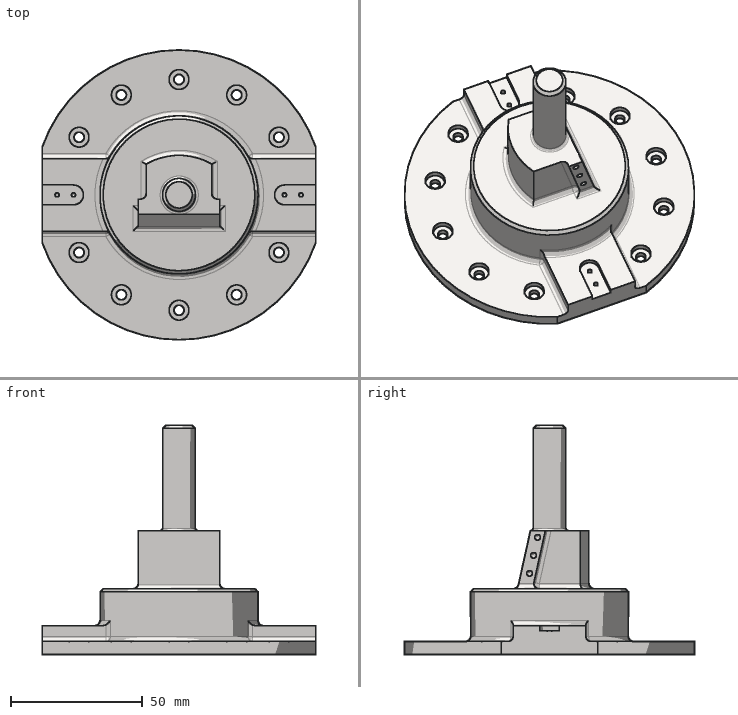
import cadquery as cq
import math

tolerance = 0.01

flange_radius = 55.0
flange_length = 103.75
flange_thickness = 5.0

bolt_circle_radius = 43.75
bolt_hole_diameter = 3.75
counterbore_diameter = 7.5
counterbore_depth = 2.5
bolt_pitch_angle = 30

hub_radius = 30.0
hub_top = 25.0
hub_chamfer = 1.25
rib_width = 27.5
rib_top = 11.0
base_fillet = 2.0

slot_width = 7.5
slot_depth = 2.0
slot_centre = 40.0
pin_hole_diameter = 1.56
pin_hole_spacing = 6.25
pin_hole_count = 2
pin_hole_depth = 3.0

block_top = 47.0
head_width = 31.0
body_width = 25.0
body_rear = 15.0
crown_radius = 25.0
lean_angle = 12.5
head_front = -12.15
head_thickness = 5.7
step_fillet = 2.0

flank_hole_diameter = 2.11
flank_hole_depth = 3.0
flank_hole_count = 3
flank_hole_spacing = 7.0
flank_hole_inset = 3.3
flank_hole_lowest = 30.8
drill_point_angle = 118.0

shaft_radius = 6.25
shaft_top = 87.0
shaft_foot_fillet = 1.0
shaft_chamfer = 1.25


def lean_offset(z):
    """Shift of the sloped faces along Y at height z, relative to the hub top."""
    return (z - hub_top) * math.tan(math.radians(lean_angle))


def drilled_hole(start, direction, diameter, depth):
    """Blind hole cutter with a conical drill point; depth is that of the full diameter."""
    radius = diameter / 2
    point_depth = radius / math.tan(math.radians(drill_point_angle / 2))
    bore = cq.Solid.makeCylinder(radius, depth, start, direction)
    point = cq.Solid.makeCone(radius, 0, point_depth, start + direction * depth, direction)
    return cq.Workplane(obj=bore).union(cq.Workplane(obj=point))


def make_flange():
    disc = cq.Workplane("XY").circle(flange_radius).extrude(flange_thickness)
    strip = cq.Workplane("XY").rect(flange_length, 2 * flange_radius).extrude(flange_thickness)
    return disc.intersect(strip)


def make_base():
    """Flange, ribs and hub with the fillets where they meet."""
    hub = cq.Workplane("XY").circle(hub_radius).extrude(hub_top)
    ribs = cq.Workplane("XY").rect(flange_length, rib_width).extrude(rib_top)
    base = make_flange().union(ribs).union(hub)

    corner_x = math.sqrt(hub_radius ** 2 - (rib_width / 2) ** 2)

    def is_root_edge(edge):
        centre = edge.Center()
        is_arc = edge.geomType() == "CIRCLE"
        is_upright = edge.BoundingBox().zlen > tolerance
        at_hub_corner = is_upright and abs(abs(centre.x) - corner_x) < tolerance
        beside_rib = abs(abs(centre.y) - rib_width / 2) < tolerance
        on_flange = abs(centre.z - flange_thickness) < tolerance and not is_upright
        around_hub = is_arc and abs(edge.radius() - hub_radius) < tolerance
        on_hub_root = around_hub and flange_thickness - tolerance < centre.z < rib_top + tolerance
        return at_hub_corner or (on_flange and beside_rib and not is_arc) or on_hub_root

    roots = [edge for edge in base.edges().vals() if is_root_edge(edge)]
    base = base.newObject(roots).fillet(base_fillet)
    return base.faces(">Z").edges().chamfer(hub_chamfer)


def cut_bolt_holes(part):
    for position in range(360 // bolt_pitch_angle):
        angle = position * bolt_pitch_angle
        if angle % 180 == 0:
            continue
        x = bolt_circle_radius * math.cos(math.radians(angle))
        y = bolt_circle_radius * math.sin(math.radians(angle))
        seat = cq.Workplane("XY", origin=(x, y, flange_thickness))
        part = part.cut(seat.circle(bolt_hole_diameter / 2).extrude(-flange_thickness))
        part = part.cut(seat.circle(counterbore_diameter / 2).extrude(-counterbore_depth))
    return part


def cut_rib_slots(part):
    floor = rib_top - slot_depth
    run = flange_length / 2 - slot_centre
    for side in (-1, 1):
        plane = cq.Workplane("XY", origin=(side * slot_centre, 0, floor))
        slot = plane.circle(slot_width / 2).extrude(slot_depth)
        slot = slot.union(plane.center(side * run / 2, 0).rect(run, slot_width).extrude(slot_depth))
        part = part.cut(slot)
        for index in range(pin_hole_count):
            start = cq.Vector(side * (slot_centre + index * pin_hole_spacing), 0, floor)
            part = part.cut(drilled_hole(start, cq.Vector(0, 0, -1), pin_hole_diameter, pin_hole_depth))
    return part


def make_body():
    """Narrow part of the block: straight flanks and a crowned rear, cut off by the sloped front."""
    half = body_width / 2
    corner_y = body_rear - crown_radius + math.sqrt(crown_radius ** 2 - half ** 2)
    outline = (
        cq.Workplane("XY", origin=(0, 0, hub_top))
        .moveTo(-half, head_front)
        .lineTo(half, head_front)
        .lineTo(half, corner_y)
        .threePointArc((0, body_rear), (-half, corner_y))
        .close()
    )
    return outline.extrude(block_top - hub_top)


def make_head():
    """Wide front part of the block: a slab leaning back along +Y."""
    top_shift = lean_offset(block_top)
    head_back = head_front + head_thickness
    profile = (
        cq.Workplane("YZ", origin=(-head_width / 2, 0, 0))
        .moveTo(head_front, hub_top)
        .lineTo(head_back, hub_top)
        .lineTo(head_back + top_shift, block_top)
        .lineTo(head_front + top_shift, block_top)
        .close()
    )
    return profile.extrude(head_width)


def make_front_waste():
    """Wedge in front of the sloped front face."""
    top_shift = lean_offset(block_top)
    profile = (
        cq.Workplane("YZ", origin=(-head_width / 2, 0, 0))
        .moveTo(head_front, hub_top)
        .lineTo(head_front + top_shift, block_top)
        .lineTo(head_front, block_top)
        .close()
    )
    return profile.extrude(head_width)


def make_block():
    block = make_body().cut(make_front_waste()).union(make_head())
    step_y = head_front + head_thickness + lean_offset(block_top) / 2
    step_z = (hub_top + block_top) / 2
    for side in (-1, 1):
        step_edge = cq.selectors.NearestToPointSelector((side * body_width / 2, step_y, step_z))
        block = block.edges(step_edge).fillet(step_fillet)
    return block


def add_block(part):
    block = make_block()
    feet = [edge.Center() for edge in block.faces("<Z").edges().vals()]
    part = part.union(block)

    def is_seam(edge):
        return any((edge.Center() - foot).Length < tolerance for foot in feet)

    seam = [edge for edge in part.edges().vals() if is_seam(edge)]
    return part.newObject(seam).fillet(base_fillet)


def cut_flank_holes(part):
    rise = flank_hole_spacing * math.cos(math.radians(lean_angle))
    for side in (-1, 1):
        for index in range(flank_hole_count):
            z = flank_hole_lowest + index * rise
            y = head_front + lean_offset(z) + flank_hole_inset
            start = cq.Vector(side * head_width / 2, y, z)
            inward = cq.Vector(-side, 0, 0)
            part = part.cut(drilled_hole(start, inward, flank_hole_diameter, flank_hole_depth))
    return part


def add_shaft(part):
    shaft = cq.Workplane("XY", origin=(0, 0, block_top)).circle(shaft_radius).extrude(shaft_top - block_top)
    shaft = shaft.faces(">Z").edges().chamfer(shaft_chamfer)
    part = part.union(shaft)

    def is_foot(edge):
        is_arc = edge.geomType() == "CIRCLE"
        return is_arc and (edge.Center() - cq.Vector(0, 0, block_top)).Length < tolerance

    foot = [edge for edge in part.edges().vals() if is_foot(edge)]
    return part.newObject(foot).fillet(shaft_foot_fillet)


result = make_base()
result = cut_bolt_holes(result)
result = cut_rib_slots(result)
result = add_block(result)
result = cut_flank_holes(result)
result = add_shaft(result)